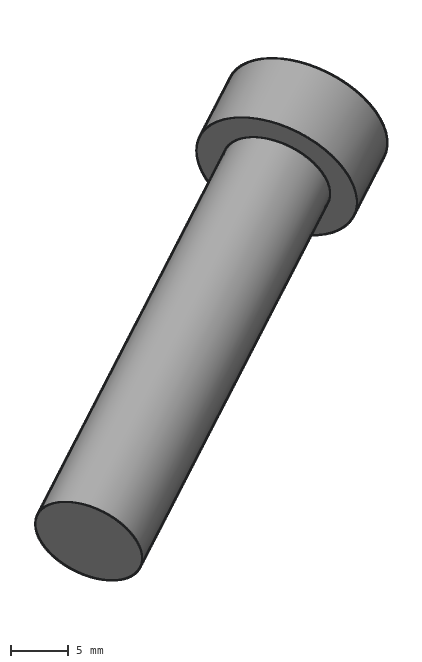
import cadquery as cq

total_length = 50.0
head_diameter = 15.0
head_length = 7.0
shank_diameter = 10.0
shank_length = total_length - head_length


def cylinder_along_y(diameter, start_y, length):
    """Solid cylinder centred on the Y axis, running from start_y toward +Y."""
    base_plane = cq.Plane(origin=(0, start_y, 0), xDir=(-1, 0, 0), normal=(0, 1, 0))
    return cq.Workplane(base_plane).circle(diameter / 2).extrude(length)


shank = cylinder_along_y(shank_diameter, -shank_length, shank_length)
head = cylinder_along_y(head_diameter, 0, head_length)

result = shank.union(head)